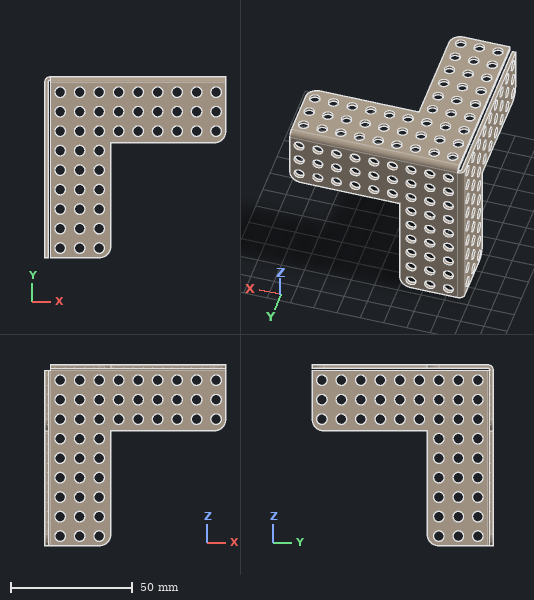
import cadquery as cq
import math

size = 74.4
thickness = 1.5
bend_radius = 2.4
arm_width = 27.2
tip_radius = 4.8
hole_diameter = 4.25
holes_long = 9
holes_wide = 3

inner_bend_radius = bend_radius - thickness
hole_pitch = (size - bend_radius) / holes_long
first_hole = bend_radius + hole_pitch / 2

back_plane = cq.Plane(origin=(0, 0, 0), xDir=(0, 0, -1), normal=(0, -1, 0))
top_plane = cq.Plane(origin=(0, 0, 0), xDir=(1, 0, 0), normal=(0, 0, -1))
left_plane = cq.Plane(origin=(0, 0, 0), xDir=(0, -1, 0), normal=(1, 0, 0))


def perforated_plate(plane):
    """Flat L-shaped plate with rounded inner tips and a square grid of holes."""
    tip_tangent = arm_width - tip_radius
    tip_start = size - tip_radius
    arc_offset = tip_radius * math.sqrt(0.5)
    plate = (
        cq.Workplane(plane)
        .moveTo(bend_radius, bend_radius)
        .lineTo(size, bend_radius)
        .lineTo(size, tip_tangent)
        .threePointArc((tip_start + arc_offset, tip_tangent + arc_offset), (tip_start, arm_width))
        .lineTo(arm_width, arm_width)
        .lineTo(arm_width, tip_start)
        .threePointArc((tip_tangent + arc_offset, tip_start + arc_offset), (tip_tangent, size))
        .lineTo(bend_radius, size)
        .close()
        .extrude(thickness)
    )
    hole_centers = [
        (first_hole + column * hole_pitch, first_hole + row * hole_pitch)
        for column in range(holes_long)
        for row in range(holes_long)
        if min(column, row) < holes_wide
    ]
    holes = cq.Workplane(plane).pushPoints(hole_centers).circle(hole_diameter / 2).extrude(thickness)
    return plate.cut(holes)


def bend(plane):
    """Quarter-round fold running along the plane's normal, stopping short of the corner."""
    outer_mid = bend_radius * (1 - math.sqrt(0.5))
    inner_mid = bend_radius - inner_bend_radius * math.sqrt(0.5)
    return (
        cq.Workplane(plane)
        .workplane(offset=bend_radius)
        .moveTo(0, bend_radius)
        .threePointArc((outer_mid, outer_mid), (bend_radius, 0))
        .lineTo(bend_radius, thickness)
        .threePointArc((inner_mid, inner_mid), (thickness, bend_radius))
        .close()
        .extrude(size - bend_radius)
    )


result = perforated_plate(back_plane)
for plane in (top_plane, left_plane):
    result = result.union(perforated_plate(plane))

back_to_left_bend = bend(top_plane)
back_to_top_bend = bend(left_plane)
result = result.union(back_to_left_bend).union(back_to_top_bend)